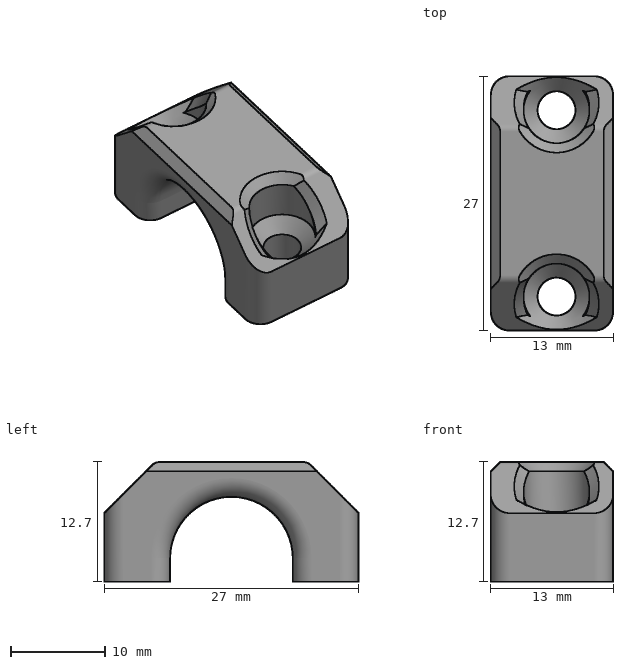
import cadquery as cq
import math

length = 27.0
width = 13.0
height = 12.72
end_height = 7.3
corner_radius = 2.0
slope_blend_radius = 1.08
side_chamfer = 1.0

arch_diameter = 13.0
arch_radius = arch_diameter / 2
arch_center_height = 2.5
arch_lip_radius = 2.0
selection_margin = 0.27

screw_x = 0.49
screw_y = 9.88
screw_diameter = 4.0
head_diameter = 7.0
rim_chamfer = 1.0
band_reach = 2.27
rim_outer_shift = 0.78
rim_inner_shift = 0.25

slope_rise = height - end_height
screw_radius = screw_diameter / 2
head_radius = head_diameter / 2
rim_radius = head_radius + rim_chamfer
slope_height_at_screw = end_height + length / 2 - screw_y
seat_height = slope_height_at_screw - head_radius
cone_base_height = seat_height - (head_radius - screw_radius)


def make_body():
    """Block with rounded corners, sloped ends and bevelled long top edges."""
    half_length = length / 2
    flat_half_length = half_length - slope_rise
    body = (
        cq.Workplane("YZ")
        .moveTo(-half_length, 0)
        .lineTo(half_length, 0)
        .lineTo(half_length, end_height)
        .lineTo(flat_half_length, height)
        .lineTo(-flat_half_length, height)
        .lineTo(-half_length, end_height)
        .close()
        .extrude(width / 2, both=True)
    )
    body = body.edges("|Z").fillet(corner_radius)
    body = body.edges("|X").edges(">Z").fillet(slope_blend_radius)
    half_width = width / 2
    for side in (-1, 1):
        bevel = (
            cq.Workplane("XZ")
            .moveTo(side * half_width, height)
            .lineTo(side * (half_width - side_chamfer), height)
            .lineTo(side * half_width, height - side_chamfer)
            .close()
            .extrude(half_length, both=True)
        )
        body = body.cut(bevel)
    return body


def arch_opening():
    """Round-topped passage through the full width of the clamp."""
    return (
        cq.Workplane("YZ", origin=(-width / 2, 0, 0))
        .moveTo(-arch_radius, 0)
        .lineTo(-arch_radius, arch_center_height)
        .threePointArc((0, arch_center_height + arch_radius), (arch_radius, arch_center_height))
        .lineTo(arch_radius, 0)
        .close()
        .extrude(width)
    )


def cut_arch(body):
    """Cut the bar opening and round its lip on both side faces."""
    body = body.cut(arch_opening())
    lip_half_length = width / 2 + selection_margin
    lip_half_span = arch_radius + selection_margin
    lip_edges = cq.selectors.BoxSelector(
        (-lip_half_length, -lip_half_span, -selection_margin),
        (lip_half_length, lip_half_span, arch_center_height + lip_half_span),
        boundingbox=True,
    )
    return body.faces("<X or >X").edges(lip_edges).edges("not <Z").fillet(arch_lip_radius)


def cone(low_radius, low_height, rise):
    """Upright 45 degree cone on the screw axis, opening upwards."""
    return (
        cq.Workplane("XZ", origin=(screw_x, screw_y, low_height))
        .lineTo(low_radius, 0)
        .lineTo(low_radius + rise, rise)
        .lineTo(0, rise)
        .close()
        .revolve(360, (0, 0, 0), (0, 1, 0))
    )


def extended_countersink():
    """Countersink cone carried on upwards past the top of the clamp."""
    return cone(screw_radius, cone_base_height, height)


def beyond_band():
    """Space outside the sloped rim bevel, towards the end face."""
    return (
        cq.Workplane("XY", origin=(screw_x, screw_y + band_reach, 0))
        .box(width, length, 2 * height, centered=(True, False, False))
    )


def sloped_rim():
    """Bevel where the head clearance breaks through the sloped face."""
    slope_plane = cq.Plane(
        origin=(screw_x, screw_y, slope_height_at_screw), xDir=(1, 0, 0), normal=(0, 1, 1)
    )
    outer_section_y = rim_outer_shift * math.sqrt(2)
    inner_section_y = rim_inner_shift * math.sqrt(2) + rim_chamfer
    bevel = (
        cq.Workplane(slope_plane)
        .moveTo(0, outer_section_y)
        .ellipse(rim_radius, rim_radius * math.sqrt(2))
        .workplane(offset=-rim_chamfer, origin=slope_plane.origin)
        .moveTo(0, inner_section_y)
        .ellipse(head_radius, head_radius * math.sqrt(2))
        .loft(ruled=True)
    )
    return bevel.intersect(extended_countersink()).cut(beyond_band())


def screw_pocket():
    """Screw hole, countersink, head clearance and bevelled rim at the +Y end."""
    axis = cq.Workplane("XY", origin=(screw_x, screw_y, 0))
    hole = axis.circle(screw_radius).extrude(height)
    clearance = axis.workplane(offset=seat_height).circle(head_radius).extrude(height - seat_height)
    countersink = cone(screw_radius, cone_base_height, head_radius - screw_radius)
    top_rim = cone(head_radius, height - rim_chamfer, rim_chamfer)
    return (
        hole.union(clearance)
        .union(countersink)
        .union(extended_countersink().intersect(beyond_band()))
        .union(top_rim)
        .union(sloped_rim())
    )


clamp = cut_arch(make_body())
pocket = screw_pocket()
result = clamp.cut(pocket).cut(pocket.mirror("XZ"))